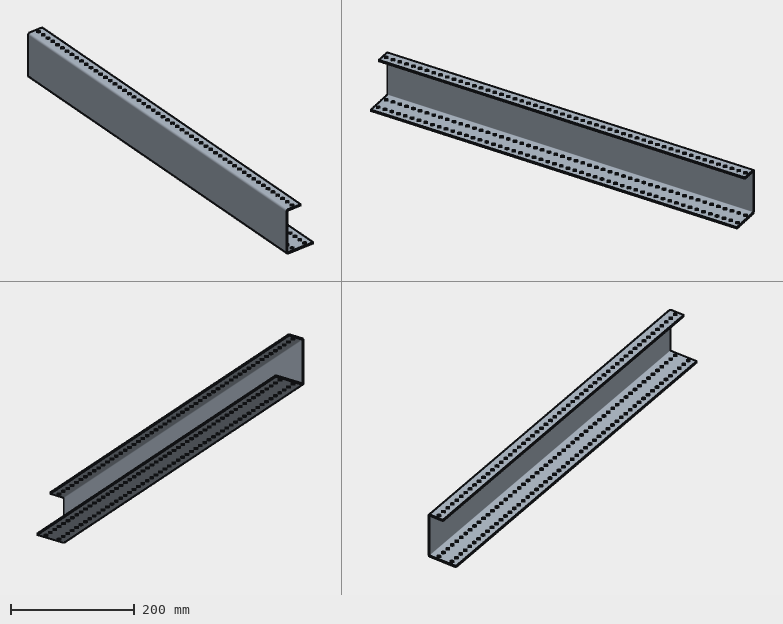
import cadquery as cq

LENGTH = 686.0
DEPTH = 54.0
HEIGHT = 84.5

THICKNESS = 3.0
INNER_BEND_RADIUS = 1.0
OUTER_BEND_RADIUS = INNER_BEND_RADIUS + THICKNESS

HOLE_COUNT = 54
HOLE_DIAMETER = 5.35
HOLE_PITCH = LENGTH / HOLE_COUNT

ROW_EDGE_MARGIN = 12.5
REAR_ROW_Y = DEPTH - ROW_EDGE_MARGIN
FRONT_ROW_Y = REAR_ROW_Y - 2 * HOLE_PITCH
TOP_FLANGE_DEPTH = FRONT_ROW_Y + ROW_EDGE_MARGIN


def channel():
    """Web on the front (Y = 0), a short top flange and a full-depth bottom flange."""
    inner_top = HEIGHT - THICKNESS
    profile = (
        cq.Workplane("YZ")
        .moveTo(DEPTH, 0)
        .lineTo(OUTER_BEND_RADIUS, 0)
        .radiusArc((0, OUTER_BEND_RADIUS), OUTER_BEND_RADIUS)
        .lineTo(0, HEIGHT - OUTER_BEND_RADIUS)
        .radiusArc((OUTER_BEND_RADIUS, HEIGHT), OUTER_BEND_RADIUS)
        .lineTo(TOP_FLANGE_DEPTH, HEIGHT)
        .lineTo(TOP_FLANGE_DEPTH, inner_top)
        .lineTo(OUTER_BEND_RADIUS, inner_top)
        .radiusArc((THICKNESS, HEIGHT - OUTER_BEND_RADIUS), -INNER_BEND_RADIUS)
        .lineTo(THICKNESS, OUTER_BEND_RADIUS)
        .radiusArc((OUTER_BEND_RADIUS, THICKNESS), -INNER_BEND_RADIUS)
        .lineTo(DEPTH, THICKNESS)
        .close()
    )
    return profile.extrude(LENGTH)


def hole_row(row_y):
    """Vertical pins in a line along X, tall enough to pierce every flange they meet."""
    centers = [((i + 0.5) * HOLE_PITCH, row_y) for i in range(HOLE_COUNT)]
    return cq.Workplane("XY").pushPoints(centers).circle(HOLE_DIAMETER / 2).extrude(HEIGHT)


result = channel()
for row_y in (FRONT_ROW_Y, REAR_ROW_Y):
    result = result.cut(hole_row(row_y))